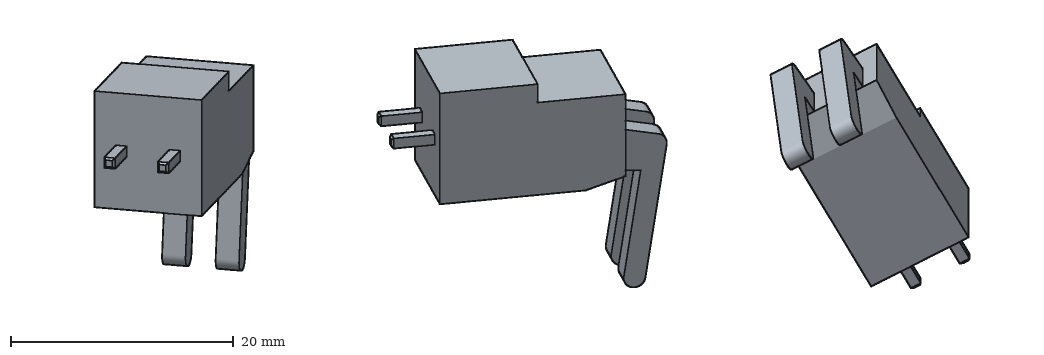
import cadquery as cq
import math

pitch = 5.0
total_length = 25.25
total_height = 21.58

housing_width = 2 * pitch
housing_length = 17.11
housing_height = 10.93
step_y = 9.0
step_height = 9.1
rear_slope_start_y = 13.43
rear_slope_rise = 1.03

pin_size = 1
pin_length = 4.0
pin_axis_z = 5.5
pin_tip_chamfer = 0.2

lever_width = 2.2
lever_top_z = 5.05
lever_corner_overhang = 0.13
lever_corner_y = total_length - pin_length + lever_corner_overhang
lever_corner_z = 4.05
lever_corner_radius = 1
lever_inner_y = 18.83
lever_inner_z = 0.8
lever_tip_radius = 1
lever_tip_y = 18.27
lever_tip_z = housing_height - total_height + lever_tip_radius
lever_lean = 8.7

pin_places = (-pitch / 2, pitch / 2)


def extrude_across(profile, width, center_x):
    """Extrude a YZ profile along X, centred on center_x."""
    return profile.extrude(width / 2, both=True).translate((center_x, 0, 0))


def make_housing():
    profile = cq.Workplane("YZ").polyline([
        (0, 0),
        (0, housing_height),
        (step_y, housing_height),
        (step_y, step_height),
        (housing_length, step_height),
        (housing_length, rear_slope_rise),
        (rear_slope_start_y, 0),
    ]).close()
    return extrude_across(profile, housing_width, 0)


def make_pin(center_x):
    return (
        cq.Workplane("XZ", origin=(center_x, 0, pin_axis_z))
        .rect(pin_size, pin_size)
        .extrude(pin_length)
        .faces("<Y")
        .chamfer(pin_tip_chamfer)
    )


def make_lever(center_x):
    lean = math.radians(lever_lean)
    side_y = lever_tip_radius * math.cos(lean)
    side_z = lever_tip_radius * math.sin(lean)
    profile = (
        cq.Workplane("YZ")
        .moveTo(housing_length, lever_top_z)
        .lineTo(lever_corner_y, lever_corner_z)
        .lineTo(lever_tip_y + side_y, lever_tip_z - side_z)
        .threePointArc(
            (lever_tip_y - side_z, lever_tip_z - side_y),
            (lever_tip_y - side_y, lever_tip_z + side_z),
        )
        .lineTo(lever_inner_y, lever_inner_z)
        .lineTo(housing_length, rear_slope_rise)
        .close()
    )
    lever = extrude_across(profile, lever_width, center_x)
    outer_corner = cq.selectors.NearestToPointSelector((center_x, lever_corner_y, lever_corner_z))
    return lever.edges(outer_corner).fillet(lever_corner_radius)


result = make_housing()
for place in pin_places:
    result = result.union(make_pin(place)).union(make_lever(place))